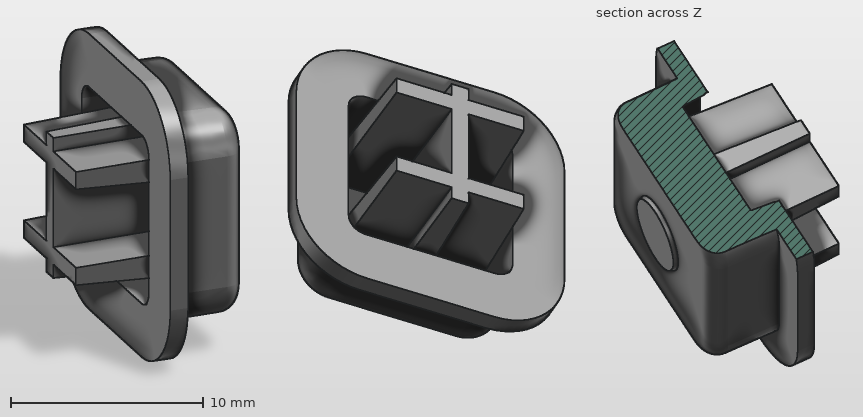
import cadquery as cq
import math

flange_width = 15.39
wall = 1.0
straight_edge = 7.3
flange_corner = (flange_width - straight_edge) / 2

cap_width = 11.4
cap_height = 4.0
cap_corner = (cap_width - straight_edge) / 2
cap_draft = 0.8
cap_edge_radius = 1.0

pocket_width = 9.42
pocket_corner = 1.0
pocket_draft = 0.5
pocket_depth = cap_height

rib_protrusion = 3.66
rib_thickness = 0.97
upright_length = 7.83
arm_length = 7.3
arm_spacing = 5.35
rib_draft = 2.0

pad_width = 4.14
pad_length = 4.43
pad_height = 0.25
pad_side_slope = 20.0
pad_rise = 0.17


def plane_at(y, direction):
    """Plane at depth y with local y along +Z, extruding to +Y (direction 1) or -Y (direction -1)."""
    return cq.Plane(origin=(0, y, 0), xDir=(-direction, 0, 0), normal=(0, direction, 0))


def rounded_square(y, width, corner):
    sketch = cq.Sketch().rect(width, width).vertices().fillet(corner)
    return cq.Workplane(plane_at(y, 1)).placeSketch(sketch)


def make_flange():
    return rounded_square(0, flange_width, flange_corner).extrude(wall)


def make_cap():
    cap = rounded_square(wall, cap_width, cap_corner).extrude(cap_height, taper=cap_draft)
    return cap.faces(">Y").edges().fillet(cap_edge_radius)


def make_pocket():
    return rounded_square(0, pocket_width, pocket_corner).extrude(pocket_depth, taper=pocket_draft)


def make_rib(length_x, length_z, center_z):
    """Bar rising from the pocket floor and narrowing to its stated size at the tip."""
    height = rib_protrusion + pocket_depth
    flare = 2 * height * math.tan(math.radians(rib_draft))
    floor = cq.Workplane(plane_at(pocket_depth, -1)).center(0, center_z)
    return floor.rect(length_x + flare, length_z + flare).extrude(height, taper=rib_draft)


def make_ribs():
    ribs = make_rib(rib_thickness, upright_length, 0)
    for side in (-1, 1):
        ribs = ribs.union(make_rib(arm_length, rib_thickness, side * arm_spacing / 2))
    return ribs


def make_pad():
    pad = cq.Workplane(plane_at(wall + cap_height, 1)).center(0, pad_rise)
    pad = pad.ellipse(pad_width / 2, pad_length / 2)
    return pad.extrude(pad_height, taper=pad_side_slope)


shell = make_flange().union(make_cap()).cut(make_pocket())
result = shell.union(make_ribs()).union(make_pad())